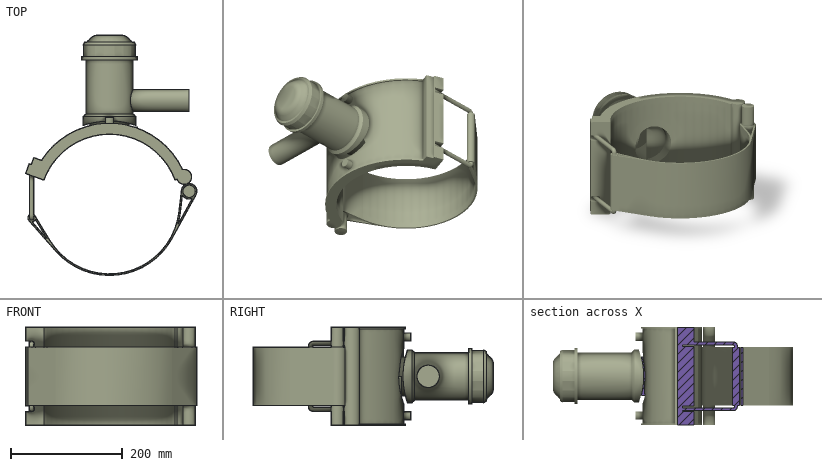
import cadquery as cq
import math

saddle_length = 176.0
saddle_inner_radius = 125.0
saddle_outer_radius = 142.0
tee_root_radius = 135.0
lip_outer_radius = 145.0
lip_thickness = 3.0
saddle_end_angle = 20.0
peg_diameter = 15.0
peg_top = 154.8
peg_offset = 70.5

block_outer_radius = 160.0
block_step_radius = 156.0
block_step_height = 18.7
block_height = 32.0

branch_diameter = 40.0
branch_position = 185.7
branch_end = 142.6

tee_bore_diameter = 70.0
septum_radius = 149.0
septum_thickness = 1.0
chamber_end = branch_position + branch_diameter / 2
base_diameter = 100.0
base_outer_radius = 148.5
base_chamfer = 2.0
collar_diameter = 95.0
collar_cone_start = 156.5
body_diameter = 85.0
flange_diameter = 100.0
flange_bottom = 258.0
flange_thickness = 6.0

cap_grip_diameter = 93.2
cap_flat_count = 8
cap_grip_top = 285.0
cap_rim_diameter = 95.0
cap_shoulder = 290.0
cap_shoulder_diameter = 89.0
dome_diameter = 82.0
dome_top = 302.55
dome_round_radius = 15.0

strap_width = 105.0
strap_thickness = 3.0
strap_inner_radius = saddle_inner_radius
strap_outer_radius = strap_inner_radius + strap_thickness

bead_radius = 13.5
bead_distance = 142.5
pin_diameter = 22.11
pin_center = (142.67, 22.9)

rod_diameter = 8.0
rod_bend_radius = 5.0
rod_offset = 59.0
rod_end = 70.5
bail_center = (-139.3, -25.0)
notch_width = 10.0
notch_offset = 58.0


def polar(radius, angle):
    """Point at a radius and an angle in degrees, measured from +X."""
    radians = math.radians(angle)
    return (radius * math.cos(radians), radius * math.sin(radians))


def bar_z(radius, center, width):
    """Round bar along Z, centred on the XY plane."""
    return cq.Workplane("XY").center(*center).circle(radius).extrude(width / 2, both=True)


def prism(points, width):
    """Closed polygon along Z, centred on the XY plane."""
    return cq.Workplane("XY").polyline(points).close().extrude(width / 2, both=True)


def arc_band(inner_radius, outer_radius, start_angle, end_angle, width):
    """Ring sector around the Z axis, centred on the XY plane."""
    middle_angle = (start_angle + end_angle) / 2
    return (
        cq.Workplane("XY")
        .moveTo(*polar(outer_radius, start_angle))
        .threePointArc(polar(outer_radius, middle_angle), polar(outer_radius, end_angle))
        .lineTo(*polar(inner_radius, end_angle))
        .threePointArc(polar(inner_radius, middle_angle), polar(inner_radius, start_angle))
        .close()
        .extrude(width / 2, both=True)
    )


def bar_y(diameter, bottom, top, x=0.0, z=0.0):
    """Round bar along Y between two Y positions."""
    return (
        cq.Workplane("XZ", origin=(x, bottom, z))
        .circle(diameter / 2)
        .extrude(bottom - top)
    )


def make_saddle():
    """Half ring with end lips, two pegs and the hinge bead."""
    start, end = saddle_end_angle, 180 - saddle_end_angle
    saddle = arc_band(saddle_inner_radius, saddle_outer_radius, start, end, saddle_length)
    lip = arc_band(saddle_inner_radius, lip_outer_radius, start, end, lip_thickness)
    lip_position = (saddle_length - lip_thickness) / 2
    for side in (-1, 1):
        saddle = saddle.union(lip.translate((0, 0, side * lip_position)))
        saddle = saddle.union(bar_y(peg_diameter, tee_root_radius, peg_top, z=side * peg_offset))
    bead = bar_z(bead_radius, polar(bead_distance, saddle_end_angle), saddle_length)
    return saddle.union(bead)


def make_block():
    """Stepped block, drawn with X as the radial direction and then turned into place."""
    root_radius = saddle_inner_radius
    outline = [
        (root_radius, 0),
        (block_outer_radius, 0),
        (block_outer_radius, -block_step_height),
        (block_step_radius, -block_step_height),
        (block_step_radius, -block_height),
        (root_radius, -block_height),
    ]
    block = prism(outline, saddle_length).rotate((0, 0, 0), (0, 0, 1), 180 - saddle_end_angle)
    bore = bar_z(saddle_inner_radius, (0, 0), saddle_length)
    block = block.cut(bore)
    rod_x = bail_center[0]
    for side in (-1, 1):
        notch = bar_y(notch_width, 0, rod_end, x=rod_x, z=side * notch_offset)
        opening = cq.Workplane("XY").box(
            block_outer_radius, rod_end, notch_width, centered=(False, False, True)
        ).translate((rod_x - block_outer_radius, 0, side * notch_offset))
        block = block.cut(notch).cut(opening)
    return block


def make_tee():
    """Turned tee with collar, flange and domed cap, its base and its branch pipe."""
    body_radius = body_diameter / 2
    collar_radius = collar_diameter / 2
    collar_cone_end = collar_cone_start + collar_radius - body_radius
    dome_radius = dome_diameter / 2
    dome_height = dome_top - cap_shoulder
    round_x = dome_round_radius * math.sin(math.pi / 4)
    round_y = dome_round_radius * (1 - math.cos(math.pi / 4))
    cone_end_radius = dome_radius - (dome_height - round_y)
    crown_radius = cone_end_radius - round_x
    round_middle = (
        crown_radius + dome_round_radius * math.sin(math.pi / 8),
        dome_top - dome_round_radius * (1 - math.cos(math.pi / 8)),
    )
    flange_top = flange_bottom + flange_thickness
    tee = (
        cq.Workplane("XY")
        .moveTo(0, saddle_inner_radius)
        .lineTo(collar_radius, saddle_inner_radius)
        .lineTo(collar_radius, collar_cone_start)
        .lineTo(body_radius, collar_cone_end)
        .lineTo(body_radius, flange_bottom)
        .lineTo(flange_diameter / 2, flange_bottom)
        .lineTo(flange_diameter / 2, flange_top)
        .lineTo(body_radius, flange_top)
        .lineTo(body_radius, cap_grip_top)
        .lineTo(cap_rim_diameter / 2, cap_grip_top)
        .lineTo(cap_shoulder_diameter / 2, cap_shoulder)
        .lineTo(dome_radius, cap_shoulder)
        .lineTo(cone_end_radius, dome_top - round_y)
        .threePointArc(round_middle, (crown_radius, dome_top))
        .lineTo(0, dome_top)
        .close()
        .revolve(360, (0, 0, 0), (0, 1, 0))
    )
    base = bar_y(base_diameter, saddle_inner_radius, collar_cone_start)
    base = base.intersect(bar_z(base_outer_radius, (0, 0), saddle_length))
    base = base.edges(">Y").chamfer(base_chamfer)
    branch = cq.Workplane("YZ").center(branch_position, 0).circle(branch_diameter / 2).extrude(branch_end)
    tee = tee.union(base).union(branch).union(make_cap_grip())
    return tee.cut(bar_z(tee_root_radius, (0, 0), saddle_length))


def make_tee_bore():
    """Bore from inside the saddle up into the body, crossed by a thin half wall."""
    bore = bar_y(tee_bore_diameter, 0, chamber_end)
    septum = arc_band(septum_radius, septum_radius + septum_thickness, 0, 90, tee_bore_diameter)
    return bore.cut(septum)


def make_cap_grip():
    """Round grip with equally spaced flats."""
    bottom = flange_bottom + flange_thickness
    grip = bar_y(cap_grip_diameter, bottom, cap_grip_top)
    pitch = 360 / cap_flat_count
    flat_distance = cap_grip_diameter / 2 * math.cos(math.radians(pitch / 4))
    for index in range(cap_flat_count):
        cutter = (
            cq.Workplane("XY")
            .box(cap_grip_diameter, cap_grip_top - bottom, cap_grip_diameter, centered=(False, False, True))
            .translate((flat_distance, bottom, 0))
            .rotate((0, 0, 0), (0, 1, 0), (index + 0.5) * pitch)
        )
        grip = grip.cut(cutter)
    return grip


def strand(ring_radius, center, loop_radius, angle):
    """Straight strap piece along the line whose normal has the given angle.

    The line runs from the ring circle to the loop circle. A negative loop radius
    takes the far side of the loop, so that the line crosses between the circles.
    """
    normal = cq.Vector(*polar(1, angle))
    ring_point = normal * ring_radius
    loop_point = cq.Vector(*center) + normal * loop_radius
    offset = normal * strap_thickness
    corners = [ring_point, loop_point, loop_point + offset, ring_point + offset]
    return prism([(corner.x, corner.y) for corner in corners], strap_width)


def strap_end(center, bar_radius, turn):
    """Strap end wrapped around a bar, and the angle where its inner strand meets the ring.

    turn is 1 when the ring runs on from the bar at growing angles and -1 otherwise.
    """
    distance = math.hypot(*center)
    direction = math.degrees(math.atan2(center[1], center[0]))
    outer_radius = bar_radius + strap_thickness
    outer_angle = direction + turn * math.degrees(
        math.acos((strap_outer_radius - outer_radius) / distance)
    )
    inner_angle = direction + turn * math.degrees(
        math.acos((strap_inner_radius + outer_radius) / distance)
    )
    loop = bar_z(outer_radius, center, strap_width)
    outer_strand = strand(strap_inner_radius, center, bar_radius, outer_angle)
    inner_strand = strand(strap_inner_radius, center, -outer_radius, inner_angle)
    return loop.union(outer_strand).union(inner_strand), inner_angle


def make_strap():
    """Flat strap around the lower half of the ring, looped around the bail and the pin."""
    bail_end, bail_angle = strap_end(bail_center, rod_diameter / 2, 1)
    pin_end, pin_angle = strap_end(pin_center, pin_diameter / 2, -1)
    ring = arc_band(strap_inner_radius, strap_outer_radius, bail_angle, pin_angle, strap_width)
    return ring.union(bail_end).union(pin_end)


def make_bail():
    """U-shaped wire with its two legs along Y."""
    x, y = bail_center
    bend_z = rod_offset - rod_bend_radius
    bend_y = y + rod_bend_radius
    bend_middle = rod_bend_radius * math.cos(math.pi / 4)
    path = (
        cq.Workplane("YZ", origin=(x, 0, 0))
        .moveTo(rod_end, -rod_offset)
        .lineTo(bend_y, -rod_offset)
        .threePointArc((bend_y - bend_middle, -bend_z - bend_middle), (y, -bend_z))
        .lineTo(y, bend_z)
        .threePointArc((bend_y - bend_middle, bend_z + bend_middle), (bend_y, rod_offset))
        .lineTo(rod_end, rod_offset)
    )
    return (
        cq.Workplane("XZ", origin=(x, rod_end, -rod_offset))
        .circle(rod_diameter / 2)
        .sweep(path)
    )


pin = bar_z(pin_diameter / 2, pin_center, saddle_length)
result = make_saddle().union(make_block()).union(make_tee()).cut(make_tee_bore())
result = result.union(make_strap()).union(pin).union(make_bail())